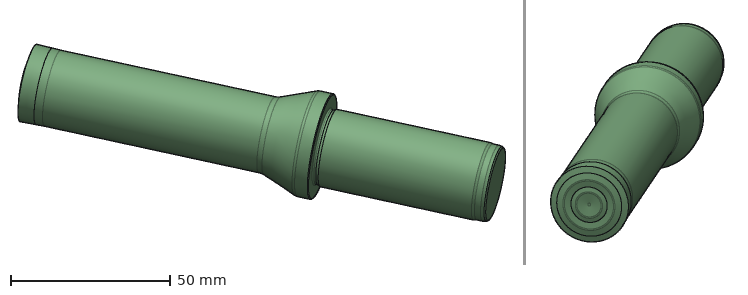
import cadquery as cq
import math

total_length = 153.0
corner_x = 0.9
seam_x = 6.1
head_end_x = 8.9
cone_start_x = 79.5
cone_fillet = 4.9
collar_start_x = 91.8
collar_fillet = 2.5
collar_end_x = 96.7
collar_chamfer = 0.3
groove_length = 1.0
groove_fillet = 0.5
shank_chamfer_length = 0.9
end_step_length = 3.5
end_chamfer_length = 1.5
end_chamfer_depth = 0.23
end_bevel_length = 0.5
end_bevel_depth = 0.6

corner_r = 25.0 / 2
ring_inner_r = 10.4
body_r = 24.5 / 2
collar_r = 34.0 / 2
shank_r = 25.0 / 2
groove_r = 24.0 / 2
end_r = 24.5 / 2

outer_ridge_r = 8.1
valley_r = 5.8
inner_ridge_r = 4.1
ridge_flat = 0.23
core_r = 0.5
valley_x = 0.3
core_x = 0.5

taper = (corner_r - body_r) / (head_end_x - corner_x)
seam_r = corner_r - taper * (seam_x - corner_x)
outer_crest_r = outer_ridge_r + ridge_flat
ring_front_x = corner_x * (ring_inner_r - outer_crest_r) / (corner_r - outer_crest_r)


def revolve_about_x(outline):
    return outline.close().revolve(360, (0, 0, 0), (1, 0, 0))


def make_cutting_ring():
    """Ring around the tip that carries the outer cutting corner."""
    outline = (
        cq.Workplane("XY")
        .moveTo(ring_front_x, ring_inner_r)
        .lineTo(corner_x, corner_r)
        .lineTo(seam_x, seam_r)
        .lineTo(seam_x, ring_inner_r)
    )
    return revolve_about_x(outline)


def start_holder_outline():
    """Ridged front face, from the axis out to the seat of the cutting ring."""
    return (
        cq.Workplane("XY")
        .moveTo(core_x, 0)
        .lineTo(core_x, core_r)
        .lineTo(0, inner_ridge_r - ridge_flat)
        .lineTo(0, inner_ridge_r + ridge_flat)
        .lineTo(valley_x, valley_r)
        .lineTo(0, outer_ridge_r - ridge_flat)
        .lineTo(0, outer_crest_r)
        .lineTo(ring_front_x, ring_inner_r)
        .lineTo(seam_x, ring_inner_r)
        .lineTo(seam_x, seam_r)
    )


def round_corner(outline, before, corner, after, radius):
    """Draw to a rounded corner and around it, ending at the start of the next straight."""
    angle_in = math.atan2(corner[1] - before[1], corner[0] - before[0])
    angle_out = math.atan2(after[1] - corner[1], after[0] - corner[0])
    setback = radius * math.tan(abs(angle_out - angle_in) / 2)
    start = (corner[0] - setback * math.cos(angle_in), corner[1] - setback * math.sin(angle_in))
    end = (corner[0] + setback * math.cos(angle_out), corner[1] + setback * math.sin(angle_out))
    return outline.lineTo(*start).tangentArcPoint(end, relative=False)


def make_holder():
    body_start = (head_end_x, body_r)
    cone_start = (cone_start_x, body_r)
    collar_start = (collar_start_x, collar_r)
    collar_end = (collar_end_x - collar_chamfer, collar_r)
    groove_end_x = collar_end_x + groove_length
    step_x = total_length - end_step_length
    outline = start_holder_outline().lineTo(*body_start)
    outline = round_corner(outline, body_start, cone_start, collar_start, cone_fillet)
    outline = round_corner(outline, cone_start, collar_start, collar_end, collar_fillet)
    outline = (
        outline.lineTo(*collar_end)
        .lineTo(collar_end_x, collar_r - collar_chamfer)
        .lineTo(collar_end_x, groove_r + groove_fillet)
        .tangentArcPoint((collar_end_x + groove_fillet, groove_r), relative=False)
        .lineTo(groove_end_x, groove_r)
        .lineTo(groove_end_x + shank_chamfer_length, shank_r)
        .lineTo(step_x - shank_chamfer_length, shank_r)
        .lineTo(step_x, end_r)
        .lineTo(total_length - end_chamfer_length, end_r)
        .lineTo(total_length - end_bevel_length, end_r - end_chamfer_depth)
        .lineTo(total_length, end_r - end_bevel_depth)
        .lineTo(total_length, 0)
    )
    return revolve_about_x(outline)


cutting_ring = make_cutting_ring()
holder = make_holder()
result = cq.Compound.makeCompound([cutting_ring.val(), holder.val()])